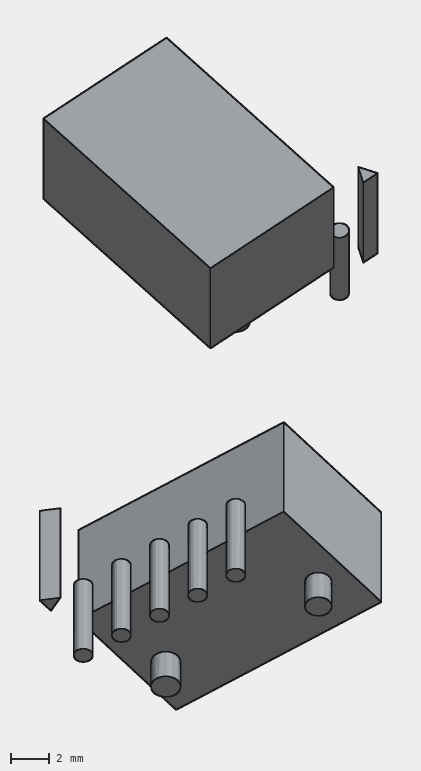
import cadquery as cq


housing_length = 13.46
housing_width = 8.5
housing_height = 6.54
pin_row_to_housing = 1.88
housing_center_y = -pin_row_to_housing - housing_width / 2

pin_count = 5
pin_pitch = 2.5
pin_diameter = 1.0
pin_length = 5.1
first_pin_x = -pin_pitch * (pin_count - 1) / 2
last_pin_x = -first_pin_x

small_peg_diameter = 1.4
large_peg_diameter = 1.55
peg_length = 1.8
peg_y = -7.18

marker_size = 1.0
marker_base_x = 7.49
marker_tip_x = marker_base_x - marker_size


def make_housing():
    """Plain block resting on Z = 0."""
    return (
        cq.Workplane("XY")
        .center(0, housing_center_y)
        .rect(housing_length, housing_width)
        .extrude(housing_height)
    )


def make_hanging_cylinder(x, y, diameter, length):
    """Cylinder with its top at Z = 0, reaching down by its length."""
    return cq.Workplane("XY").center(x, y).circle(diameter / 2).extrude(-length)


def make_pin(index):
    """One pin of the row, counted from the -X end."""
    return make_hanging_cylinder(first_pin_x + index * pin_pitch, 0, pin_diameter, pin_length)


def make_peg(x, diameter):
    """Locating peg on the underside of the housing."""
    return make_hanging_cylinder(x, peg_y, diameter, peg_length)


def make_marker():
    """Triangular prism as tall as the housing."""
    return (
        cq.Workplane("XY")
        .moveTo(marker_tip_x, 0)
        .lineTo(marker_base_x, -marker_size / 2)
        .lineTo(marker_base_x, marker_size / 2)
        .close()
        .extrude(housing_height)
    )


housing = make_housing()
pins = [make_pin(index) for index in range(pin_count)]
small_peg = make_peg(first_pin_x, small_peg_diameter)
large_peg = make_peg(last_pin_x, large_peg_diameter)
marker = make_marker()

result = cq.Compound.makeCompound([
    housing.val(),
    *[pin.val() for pin in pins],
    small_peg.val(),
    large_peg.val(),
    marker.val(),
])